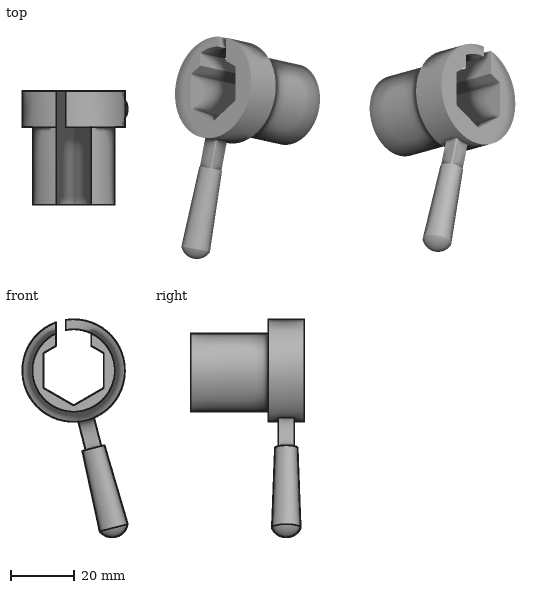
import cadquery as cq
import math

total_length = 36.0
collar_length = 11.5

collar_radius = 16.25
tube_radius = 13.0
hex_across_flats = 19.0
hex_corner_radius = 0.5
slot_width = 11.0
gap_width = 3.0

lever_angle = 14.3
lever_y = -collar_length / 2
stem_width = 5.2
stem_edge_radius = 0.5
grip_start = 25.25
grip_length = 26.0
grip_start_radius = 3.65
grip_end_radius = 4.6
dome_height = 3.0


def cylinder_y(radius, length):
    """Cylinder on the socket axis from Y = 0 to Y = -length."""
    return cq.Workplane("XZ").circle(radius).extrude(length)


def upper_block(x_center, width, length):
    """Box from the socket axis up to the collar's top, running from Y = 0 to Y = -length."""
    return (
        cq.Workplane("XZ")
        .center(x_center, collar_radius / 2)
        .rect(width, collar_radius)
        .extrude(length)
    )


def make_hex_hole():
    """Hexagon with rounded corners, one corner pointing straight down."""
    return (
        cq.Workplane("XZ")
        .polygon(6, hex_across_flats, circumscribed=True)
        .extrude(total_length)
        .edges("|Y")
        .fillet(hex_corner_radius)
    )


def make_socket():
    tube = cylinder_y(tube_radius, total_length)
    open_tube = tube.cut(make_hex_hole()).cut(upper_block(0, slot_width, total_length))
    gap_center = (gap_width - slot_width) / 2
    rim = cylinder_y(collar_radius, collar_length).cut(tube)
    split_rim = rim.cut(upper_block(gap_center, gap_width, collar_length))
    return open_tube.union(split_rim)


def place_lever(body):
    """Turn a body built along -Z into the lever's direction and position."""
    return body.rotate((0, 0, 0), (0, 1, 0), -lever_angle).translate((0, lever_y, 0))


def make_stem():
    bar = (
        cq.Workplane("XY")
        .rect(stem_width, stem_width)
        .extrude(-grip_start)
        .edges("|Z")
        .fillet(stem_edge_radius)
    )
    return place_lever(bar).cut(cylinder_y(collar_radius, collar_length))


def make_grip():
    dome_radius = (grip_end_radius**2 + dome_height**2) / (2 * dome_height)
    grip_end = grip_start + grip_length
    half_angle = math.asin(grip_end_radius / dome_radius) / 2
    dome_center = grip_end + dome_height - dome_radius
    dome_mid = (
        -dome_radius * math.sin(half_angle),
        -dome_center - dome_radius * math.cos(half_angle),
    )
    profile = (
        cq.Workplane("XZ")
        .moveTo(0, -grip_start)
        .lineTo(-grip_start_radius, -grip_start)
        .lineTo(-grip_end_radius, -grip_end)
        .threePointArc(dome_mid, (0, -grip_end - dome_height))
        .close()
    )
    return place_lever(profile.revolve(360, (0, 0, 0), (0, 1, 0)))


socket = make_socket()
stem = make_stem()
grip = make_grip()

result = cq.Compound.makeCompound([socket.val(), stem.val(), grip.val()])